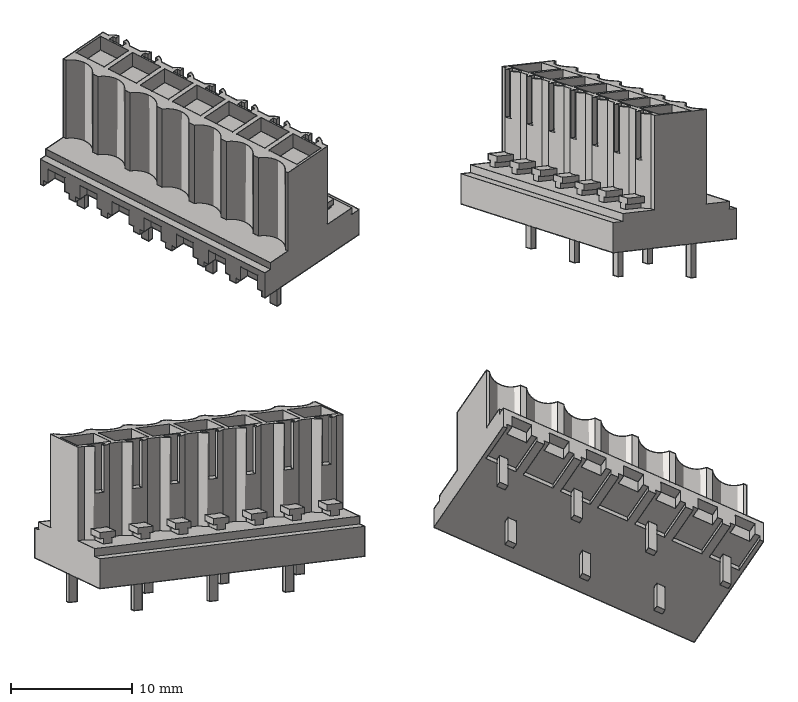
import cadquery as cq


pole_count = 7
length = 24.5
pitch = length / pole_count
pole_x = [(i - (pole_count - 1) / 2) * pitch for i in range(pole_count)]

base_depth = 11.85
ledge_height = 2.55
base_height = 3.2
front_ledge = 0.69
rear_ledge = 0.93

tower_front = 2.9
tower_rear = 7.9
tower_top = 11.15
scallop_width = 2.92
scallop_depth = 0.75
lobe_width = 2.33
lobe_height = 0.55

pocket_size = 3.06
pocket_front = 4.26
pocket_depth = 1.4

key_width = 1.42
key_neck_width = 0.8
slot_front = 7.5
slot_head_depth = 0.47
slot_depth = 3.95
rib_rear = 9.85
rib_height = 1.0
rib_neck_height = 0.47

recess_width = 2.8
recess_height = 0.51
notch_width = 1.84
notch_top = 1.9
notch_depth = 0.88

pin_width = 0.78
pin_thickness = 0.5
pin_length_below = 3.15
front_row_y = 3.33
rear_row_y = 8.25
recess_depth = front_row_y + pin_thickness / 2


def block(x, width, y_front, y_rear, z_bottom, z_top):
    """Box centred on x, between two Y positions and two Z levels."""
    size_y = y_rear - y_front
    size_z = z_top - z_bottom
    box = cq.Workplane("XY").box(width, size_y, size_z, centered=(True, False, False))
    return box.translate((x, y_front, z_bottom))


def arc_column(x, wall_y, width, bulge):
    """Arc segment standing on the base, bulging toward +Y from the line y = wall_y."""
    return (
        cq.Workplane("XY", origin=(x, wall_y, base_height))
        .moveTo(-width / 2, 0)
        .threePointArc((0, bulge), (width / 2, 0))
        .close()
        .extrude(tower_top - base_height)
    )


def make_key_slot(x):
    """T-shaped slot that opens through the rear lobe."""
    slot_bottom = tower_top - slot_depth
    head_rear = slot_front + slot_head_depth
    lobe_rear = tower_rear + lobe_height
    head = block(x, key_width, slot_front, head_rear, slot_bottom, tower_top)
    neck = block(x, key_neck_width, slot_front, lobe_rear, slot_bottom, tower_top)
    return head.union(neck)


def make_key_rib(x):
    """Rib behind the tower with a narrow neck below a wide head."""
    neck_top = base_height + rib_neck_height
    head_top = base_height + rib_height
    neck = block(x, key_neck_width, tower_rear, rib_rear, base_height, neck_top)
    head = block(x, key_width, tower_rear, rib_rear, neck_top, head_top)
    return neck.union(head)


def make_pin(index):
    """Pin of one pole: even indices stand in the front row, odd ones in the rear row."""
    row_y = front_row_y if index % 2 == 0 else rear_row_y
    half = pin_thickness / 2
    x = pole_x[index]
    return block(x, pin_width, row_y - half, row_y + half, -pin_length_below, recess_height)


def make_housing(pins):
    base = block(0, length, 0, base_depth, 0, ledge_height)
    step = block(0, length, front_ledge, base_depth - rear_ledge, ledge_height, base_height)
    tower = block(0, length, tower_front, tower_rear, base_height, tower_top)
    body = base.union(step).union(tower)

    pocket_rear = pocket_front + pocket_size
    pocket_floor = tower_top - pocket_depth
    for x in pole_x:
        body = body.union(arc_column(x, tower_rear, lobe_width, lobe_height))
        body = body.union(make_key_rib(x))
        body = body.cut(arc_column(x, tower_front, scallop_width, scallop_depth))
        body = body.cut(make_key_slot(x))
        body = body.cut(block(x, pocket_size, pocket_front, pocket_rear, pocket_floor, tower_top))
        body = body.cut(block(x, recess_width, 0, recess_depth, 0, recess_height))
        body = body.cut(block(x, notch_width, 0, notch_depth, 0, notch_top))

    for pin in pins:
        body = body.cut(pin)
    return body


pins = [make_pin(i) for i in range(pole_count)]
housing = make_housing(pins)

result = cq.Compound.makeCompound([housing.solids().val(), *[pin.val() for pin in pins]])